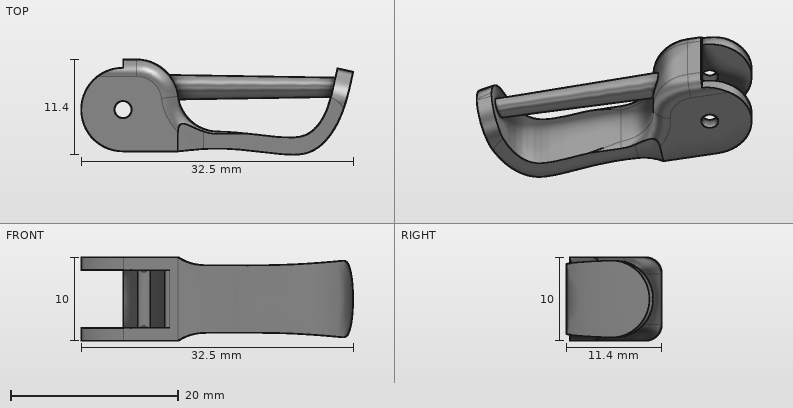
import cadquery as cq
import math

EYE_RADIUS = 5.0
HEAD_WIDTH = 10.0
PIVOT_DIAMETER = 2.0
FORK_GAP = 6.92

BACK_Y = 6.0
BACK_ARC_X = 1.6
BACK_ARC_RADIUS = 5.0
BLEND_RADIUS = 4.8
BLEND_ANGLE = math.radians(7)
EDGE_RADIUS = 2.0
ROUNDING_END_X = 16.25

CAVITY_LIP_RADIUS = 0.5
CROSS_PIN_DIAMETER = 1.5
CROSS_PIN_CENTER = (2.5, -1.53)

HEAD_END_X = 6.55
FLARE_END_X = 9.6
LEVER_HALF_WIDTH = 4.05
TIP_HALF_WIDTH = 4.58
TIP_START_X = 26.23
TIP_OUTER = (27.5, 4.52)
TIP_INNER = (25.6, 4.95)
TIP_ANGLE = 77.0

ROD_Y = 2.65
ROD_START_X = 5.2
ROD_END_X = 25.35
ROD_START_DIAMETER = 3.0
ROD_END_DIAMETER = 2.35

CLEARANCE = 6.5
FAR_X = TIP_OUTER[0] + CLEARANCE


def polar(center, radius, angle):
    return (center[0] + radius * math.cos(angle), center[1] + radius * math.sin(angle))


def extrude_centered(outline, width):
    """Extrude an outline symmetrically about its own plane."""
    shift = outline.plane.zDir * (-width / 2)
    return outline.extrude(width).translate(shift)


back_center = (BACK_ARC_X, BACK_Y - BACK_ARC_RADIUS)
back_arc_mid = polar(back_center, BACK_ARC_RADIUS, (math.pi / 2 + BLEND_ANGLE) / 2)
back_arc_end = polar(back_center, BACK_ARC_RADIUS, BLEND_ANGLE)
blend_center = polar(back_center, BACK_ARC_RADIUS + BLEND_RADIUS, BLEND_ANGLE)
blend_mid = polar(blend_center, BLEND_RADIUS, (BLEND_ANGLE + math.pi + 1.5 * math.pi) / 2)
blend_end = polar(blend_center, BLEND_RADIUS, 1.5 * math.pi)
tip_direction = polar((0, 0), 1, math.radians(TIP_ANGLE))


def add_back_curve(outline):
    """Continue an outline along the convex back and the concave blend to the lever."""
    return (
        outline.lineTo(BACK_ARC_X, BACK_Y)
        .threePointArc(back_arc_mid, back_arc_end)
        .threePointArc(blend_mid, blend_end)
    )


def make_side_profile():
    """Head and lever as one full-width plate."""
    inner_curve = [
        (13.52, -2.73), (16.95, -3.1), (20.38, -3.3), (21.85, -3.02),
        (23.3, -1.85), (24.38, 0.05), TIP_INNER,
    ]
    outer_curve = [
        (TIP_START_X, -0.25), (24.75, -3.02), (23.3, -4.52), (21.85, -5.23), (20.48, -5.4),
        (16.93, -5.1), (13.52, -4.75), (FLARE_END_X, -4.7), (HEAD_END_X, -EYE_RADIUS),
    ]
    outline = add_back_curve(cq.Workplane("XY").moveTo(0, EYE_RADIUS).lineTo(0, BACK_Y))
    outline = (
        outline.spline(inner_curve, tangents=[(1, 0), tip_direction], includeCurrent=True)
        .lineTo(*TIP_OUTER)
        .spline(outer_curve, includeCurrent=True)
        .lineTo(0, -EYE_RADIUS)
        .threePointArc((-EYE_RADIUS, 0), (0, EYE_RADIUS))
        .close()
    )
    return extrude_centered(outline, HEAD_WIDTH)


def make_rounding_envelope():
    """Block with rounded back edges; the rounding runs out where the lever dips below it."""
    floor_y = -EYE_RADIUS - CLEARANCE
    outline = add_back_curve(cq.Workplane("XY").moveTo(-EYE_RADIUS - CLEARANCE, BACK_Y))
    outline = (
        outline.lineTo(FAR_X, blend_end[1])
        .lineTo(FAR_X, floor_y)
        .lineTo(-EYE_RADIUS - CLEARANCE, floor_y)
        .close()
    )
    back_edges = cq.selectors.BoxSelector(
        (-FAR_X, blend_end[1] - 0.32, -HEAD_WIDTH),
        (FAR_X, BACK_Y + 0.32, HEAD_WIDTH),
    )
    block = extrude_centered(outline, HEAD_WIDTH)
    rounded = block.faces("<Z or >Z").edges(back_edges).fillet(EDGE_RADIUS)
    lever_space = cq.Workplane("XY").box(
        FAR_X - ROUNDING_END_X, 4 * CLEARANCE, HEAD_WIDTH, centered=(False, True, True)
    ).translate((ROUNDING_END_X, 0, 0))
    return rounded.union(lever_space)


def make_width_envelope():
    """Full-width head, flared neck and slightly widening lever, extruded along Y."""
    half_head = HEAD_WIDTH / 2
    flare_mid = (7.65, 4.45)
    flare_end = (FLARE_END_X, LEVER_HALF_WIDTH)
    lever_edge = [(14.62, 4.03), (19.82, 4.13), (24.05, 4.4)]
    upper_edge = lever_edge + [(TIP_START_X, TIP_HALF_WIDTH)]
    lower_edge = [(x, -z) for x, z in reversed([flare_end] + lever_edge)]
    outline = (
        cq.Workplane("XZ")
        .moveTo(-EYE_RADIUS, half_head)
        .lineTo(HEAD_END_X, half_head)
        .threePointArc(flare_mid, flare_end)
        .spline(upper_edge, includeCurrent=True)
        .lineTo(FAR_X, TIP_HALF_WIDTH)
        .lineTo(FAR_X, -TIP_HALF_WIDTH)
        .lineTo(TIP_START_X, -TIP_HALF_WIDTH)
        .spline(lower_edge, includeCurrent=True)
        .threePointArc((flare_mid[0], -flare_mid[1]), (HEAD_END_X, -half_head))
        .lineTo(-EYE_RADIUS, -half_head)
        .close()
    )
    return extrude_centered(outline, 4 * CLEARANCE)


def make_tip_cutter():
    """Waste around the half-round lever tip."""
    tip_plane = cq.Plane(
        origin=(*TIP_OUTER, 0),
        xDir=(*tip_direction, 0),
        normal=(tip_direction[1], -tip_direction[0], 0),
    )
    outline = (
        cq.Workplane(tip_plane)
        .moveTo(-TIP_HALF_WIDTH, TIP_HALF_WIDTH)
        .threePointArc((0, 0), (-TIP_HALF_WIDTH, -TIP_HALF_WIDTH))
        .lineTo(-TIP_HALF_WIDTH, -HEAD_WIDTH)
        .lineTo(CLEARANCE, -HEAD_WIDTH)
        .lineTo(CLEARANCE, HEAD_WIDTH)
        .lineTo(-TIP_HALF_WIDTH, HEAD_WIDTH)
        .close()
    )
    return extrude_centered(outline, CLEARANCE)


def make_cavity():
    """Space between the fork cheeks, concentric with the pivot and flared at its mouth."""
    lip_y = -EYE_RADIUS + CAVITY_LIP_RADIUS
    lip_x = EYE_RADIUS + CAVITY_LIP_RADIUS
    lip_mid = polar((lip_x, lip_y), CAVITY_LIP_RADIUS, math.radians(225))
    outline = (
        cq.Workplane("XY")
        .moveTo(-EYE_RADIUS, -EYE_RADIUS)
        .lineTo(lip_x, -EYE_RADIUS)
        .threePointArc(lip_mid, (EYE_RADIUS, lip_y))
        .lineTo(EYE_RADIUS, 0)
        .threePointArc(polar((0, 0), EYE_RADIUS, math.pi / 4), (0, EYE_RADIUS))
        .lineTo(-EYE_RADIUS, EYE_RADIUS)
        .close()
    )
    return extrude_centered(outline, FORK_GAP)


def make_cross_pin():
    outline = cq.Workplane("XY").center(*CROSS_PIN_CENTER).circle(CROSS_PIN_DIAMETER / 2)
    return extrude_centered(outline, (FORK_GAP + HEAD_WIDTH) / 2)


def make_rod():
    return (
        cq.Workplane("YZ", origin=(ROD_START_X, ROD_Y, 0))
        .circle(ROD_START_DIAMETER / 2)
        .workplane(offset=ROD_END_X - ROD_START_X)
        .circle(ROD_END_DIAMETER / 2)
        .loft()
    )


pivot_hole = extrude_centered(cq.Workplane("XY").circle(PIVOT_DIAMETER / 2), HEAD_WIDTH)

result = (
    make_side_profile()
    .intersect(make_rounding_envelope())
    .intersect(make_width_envelope())
    .cut(make_tip_cutter())
    .cut(make_cavity())
    .union(make_cross_pin())
    .union(make_rod())
    .cut(pivot_hole)
)